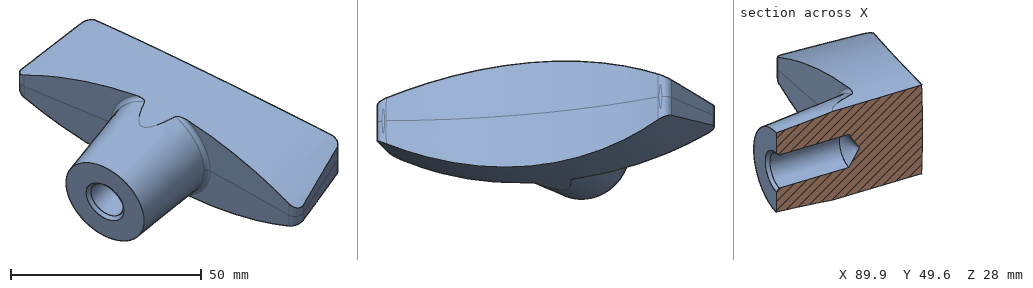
import cadquery as cq
import math

LENGTH = 90.0
HEIGHT = 28.0
DEPTH = 49.6
BACK_MIDDLE_Y = 43.5
BACK_CORNER_X = 40.4
BACK_CORNER_Y = 50.4
FRONT_CORNER_X = 45.5
FRONT_CORNER_Y = 23.3
FRONT_MIDDLE_Y = 26.45
CORNER_RADIUS = 2.4
DRAFT_ANGLE = 0.5
LENS_RADIUS = 95.4

BLANK_HALF_HEIGHT = 18.0

BOSS_FACE_RADIUS = 12.5
BOSS_ROOT_RADIUS = 14.8
BOSS_ROOT_Y = 25.6
BOSS_END_Y = 32.4
ROOT_FILLET = 1.2
ROOT_SEARCH = 1.8

HOLE_RADIUS = 5.1
HOLE_CHAMFER = 0.9
HOLE_DEPTH = 21.6
DRILL_POINT_ANGLE = 118.0


def make_right_grip():
    """Right end of the bow-tie plan, run on past X = 0 and tapering steadily upwards.

    The outline holds at Z = 0; only the part above that is kept later.
    """
    slope = (FRONT_MIDDLE_Y - FRONT_CORNER_Y) / FRONT_CORNER_X
    outline = (
        cq.Workplane("XY")
        .moveTo(-BACK_CORNER_X, FRONT_MIDDLE_Y + slope * BACK_CORNER_X)
        .lineTo(FRONT_CORNER_X, FRONT_CORNER_Y)
        .lineTo(BACK_CORNER_X, BACK_CORNER_Y)
        .threePointArc((0, BACK_MIDDLE_Y), (-BACK_CORNER_X, BACK_CORNER_Y))
        .close()
    )
    blank = cq.Workplane("XY")
    for side in (1, -1):
        half = cq.Workplane("XY").add(outline.val()).toPending()
        blank = blank.add(half.extrude(side * BLANK_HALF_HEIGHT, taper=side * DRAFT_ANGLE))
    blank = blank.combine(clean=True)
    right_corners = cq.selectors.BoxSelector(
        (BACK_CORNER_X / 2, 0, -BLANK_HALF_HEIGHT / 2),
        (LENGTH, 2 * DEPTH, BLANK_HALF_HEIGHT / 2),
    )
    return blank.edges(right_corners).fillet(CORNER_RADIUS)


def make_boss():
    """Cone widening from its face into the grip."""
    slope = (BOSS_ROOT_RADIUS - BOSS_FACE_RADIUS) / BOSS_ROOT_Y
    end_radius = BOSS_FACE_RADIUS + slope * BOSS_END_Y
    return (
        cq.Workplane("XY")
        .polyline([(0, 0), (BOSS_FACE_RADIUS, 0), (end_radius, BOSS_END_Y), (0, BOSS_END_Y)])
        .close()
        .revolve(360, (0, 0, 0), (0, 1, 0))
    )


def make_body():
    """Grip and boss joined by a root fillet, crowned, then cut to a quarter and mirrored twice."""
    joined = make_right_grip().union(make_boss())
    root = joined.edges(cq.selectors.BoxSelector(
        (-BOSS_ROOT_RADIUS, BOSS_ROOT_Y - ROOT_SEARCH, -BOSS_ROOT_RADIUS),
        (BOSS_ROOT_RADIUS, BOSS_ROOT_Y + ROOT_SEARCH, BOSS_ROOT_RADIUS),
    ))
    crowned = root.fillet(ROOT_FILLET).intersect(make_lens())
    quarter_space = cq.Workplane("XY").box(LENGTH, 2 * DEPTH, HEIGHT, centered=(False, True, False))
    quarter = crowned.intersect(quarter_space)
    upper_half = quarter.union(quarter.mirror("YZ"))
    return upper_half.union(upper_half.mirror("XY"))


def make_lens():
    """Envelope bounded by the two crowned faces, running along Y."""
    crossing_x = math.sqrt(LENS_RADIUS**2 - (LENS_RADIUS - HEIGHT / 2) ** 2)
    return (
        cq.Workplane("XZ")
        .moveTo(-crossing_x, 0)
        .threePointArc((0, HEIGHT / 2), (crossing_x, 0))
        .threePointArc((0, -HEIGHT / 2), (-crossing_x, 0))
        .close()
        .extrude(-2 * DEPTH)
    )


def make_hole():
    """Blind hole with a chamfered mouth and a drill point."""
    mouth_radius = HOLE_RADIUS + HOLE_CHAMFER
    point_length = HOLE_RADIUS / math.tan(math.radians(DRILL_POINT_ANGLE / 2))
    profile = [
        (0, 0),
        (mouth_radius, 0),
        (HOLE_RADIUS, HOLE_CHAMFER),
        (HOLE_RADIUS, HOLE_DEPTH),
        (0, HOLE_DEPTH + point_length),
    ]
    return cq.Workplane("XY").polyline(profile).close().revolve(360, (0, 0, 0), (0, 1, 0))


result = make_body().cut(make_hole())